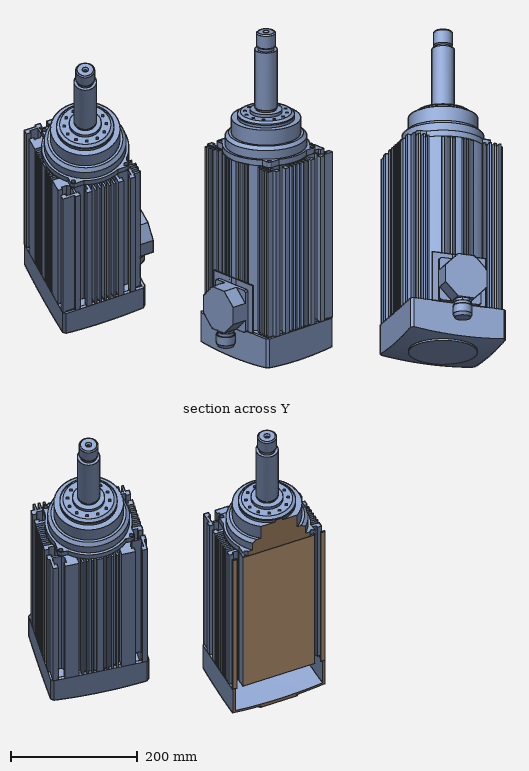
import cadquery as cq
import math


COVER_TOP = 58.0
HOUSING_TOP = 339.0
LUG_TOP = 348.5
SHOULDER_TOP = 368.5
NOSE_TOP = 394.0
PEDESTAL_TOP = 398.0
BEARING_COVER_TOP = 403.5
SHAFT_TOP = 539.5

HALF_WIDTH = 80.5
FRONT_Y = -72.0
BARREL_RADIUS = 69.0
SIDE_HALF_DEPTH = 52.0
CORNER_STEP = 3.0

GROOVE_PITCH = 8.0
GROOVE_WIDTH = 5.0
SIDE_GROOVE_COUNT = 6
FRONT_GROOVES_PER_SIDE = 4
BACK_GROOVES_PER_SIDE = 3
BACK_GROOVE_FLOOR_Y = 62.0
BACK_FIN_OUTER_X = 72.5
BACK_FIN_TIPS = (63.0, 63.0, 63.0, 59.5)
FIN_WIDTH = GROOVE_PITCH - GROOVE_WIDTH

SLOT_MOUTH_WIDTH = 11.5
SLOT_INNER_WIDTH = 19.5
SIDE_SLOT_Y = 37.0
SIDE_SLOT_LIP = 7.5
FRONT_SLOT_X = 63.0
FRONT_SLOT_LIP = 8.0
FRONT_SLOT_CHAMFER = 5.0

LUG_X = 62.5
LUG_Y = 50.0
LUG_CORNER_RADIUS = 5.0
SCREW_HOLE_RADIUS = 3.0
SHOULDER_RADIUS = 65.0
SHOULDER_CHAMFER = 5.5
NOSE_RADIUS = 55.0

BEARING_COVER_RADIUS = 45.5
BEARING_COVER_CHAMFER_RUN = 5.0
BEARING_COVER_CHAMFER_RISE = 3.0
BOLT_COUNT = 12
BOLT_CIRCLE_RADIUS = 33.5
BOLT_START_ANGLE = 11.0
BOLT_HOLE_RADIUS = 2.0
BOLT_HOLE_DEPTH = 5.5

COLLAR_RADIUS = 25.5
COLLAR_TOP = 408.5
ROOT_RADIUS = 16.0
JOURNAL_BOTTOM = 411.5
JOURNAL_RADIUS = 18.0
JOURNAL_TOP = 510.0
NECK_RADIUS = 13.0
NECK_TOP = 514.0
TIP_RADIUS = 15.0
TIP_CHAMFER = 2.0
CENTRE_HOLE_RADIUS = 2.0
CENTRE_SINK_RADIUS = 5.0
CENTRE_HOLE_DEPTH = 11.0

COVER_BACK_Y = 69.5
COVER_CHAMFER = 4.5
COVER_WALL = 5.0
DOME_RADIUS = 620.5
DOME_LOW_Z = 0.5
BOSS_RADIUS = 54.5

BOX_TOP = 129.5
BOX_HALF_WIDTH = 35.0
BOX_BACK_Y = 102.0
BOX_CHAMFER = 21.0
BOX_BASE_BACK_Y = 76.0
BOX_BASE_CHAMFER = 2.5
PLATE_MARGIN = 10.0
PLATE_FRONT_Y = 68.0
PLATE_BACK_Y = 70.0

GLAND_Y = 86.0
GLAND_NUT_FLATS = 26.5
GLAND_NUT_SIDES = 8
GLAND_NUT_BOTTOM = 54.0
GLAND_NECK_RADIUS = 13.0
GLAND_CAP_TOP = 48.5
GLAND_CAP_RADIUS = 15.0
GLAND_BOTTOM = 29.0
GLAND_CHAMFER_RUN = 2.5
GLAND_CHAMFER_RISE = 5.5

SIDES = (-1, 1)


def block(x0, x1, y0, y1, z0, z1):
    """A box given by its limits along each axis."""
    corner = cq.Vector(min(x0, x1), min(y0, y1), z0)
    return cq.Workplane(obj=cq.Solid.makeBox(abs(x1 - x0), abs(y1 - y0), z1 - z0, corner))


def cylinder(radius, z0, z1, x=0.0, y=0.0):
    """An upright cylinder between two levels."""
    return cq.Workplane("XY", origin=(x, y, z0)).circle(radius).extrude(z1 - z0)


def turned(points):
    """A solid of revolution about Z from (radius, level) points."""
    return cq.Workplane("XZ").polyline(points).close().revolve(360, (0, 0, 0), (0, 1, 0))


def housing_block(x0, x1, y0, y1):
    return block(x0, x1, y0, y1, COVER_TOP, HOUSING_TOP)


def side_slot(side, y):
    """T-slot opening on a +X or -X face."""
    outer = side * HALF_WIDTH
    inner = side * (HALF_WIDTH - SIDE_SLOT_LIP)
    mouth = housing_block(outer, inner, y - SLOT_MOUTH_WIDTH / 2, y + SLOT_MOUTH_WIDTH / 2)
    chamber = housing_block(inner, side * LUG_X, y - SLOT_INNER_WIDTH / 2, y + SLOT_INNER_WIDTH / 2)
    return mouth.union(chamber)


def front_slot(side):
    """T-slot opening on the -Y face, with one inner corner sloped to leave metal for the screw."""
    x = side * FRONT_SLOT_X
    lip_y = FRONT_Y + FRONT_SLOT_LIP
    mouth = housing_block(x - SLOT_MOUTH_WIDTH / 2, x + SLOT_MOUTH_WIDTH / 2, FRONT_Y, lip_y)
    near = side * (FRONT_SLOT_X - SLOT_INNER_WIDTH / 2)
    far = side * (FRONT_SLOT_X + SLOT_INNER_WIDTH / 2)
    chamber = (
        cq.Workplane("XY", origin=(0, 0, COVER_TOP))
        .moveTo(near, lip_y)
        .lineTo(far, lip_y)
        .lineTo(far, -LUG_Y)
        .lineTo(x - side * SLOT_MOUTH_WIDTH / 2, -LUG_Y)
        .lineTo(near, -LUG_Y - FRONT_SLOT_CHAMFER)
        .close()
        .extrude(HOUSING_TOP - COVER_TOP)
    )
    return mouth.union(chamber)


def make_housing():
    body = housing_block(-HALF_WIDTH, HALF_WIDTH, -SIDE_HALF_DEPTH, SIDE_HALF_DEPTH)
    front_half_width = HALF_WIDTH - CORNER_STEP
    body = body.union(housing_block(-front_half_width, front_half_width, FRONT_Y, 0))

    for side in SIDES:
        for i in range(SIDE_GROOVE_COUNT):
            y = (i - (SIDE_GROOVE_COUNT - 1) / 2) * GROOVE_PITCH
            body = body.cut(housing_block(0, side * HALF_WIDTH, y - GROOVE_WIDTH / 2, y + GROOVE_WIDTH / 2))

    for side in SIDES:
        for i in range(FRONT_GROOVES_PER_SIDE):
            x = side * (i + 1) * GROOVE_PITCH
            body = body.cut(housing_block(x - GROOVE_WIDTH / 2, x + GROOVE_WIDTH / 2, FRONT_Y, 0))

    for side in SIDES:
        body = body.cut(side_slot(side, SIDE_SLOT_Y))
        body = body.cut(side_slot(side, -SIDE_SLOT_Y))
        body = body.cut(front_slot(side))

    body = body.union(cylinder(BARREL_RADIUS, COVER_TOP, HOUSING_TOP))

    for side in SIDES:
        for i in range(BACK_GROOVES_PER_SIDE):
            x = side * (i + 1) * GROOVE_PITCH
            left = x - GROOVE_WIDTH / 2
            body = body.cut(housing_block(left, left + GROOVE_WIDTH, BACK_GROOVE_FLOOR_Y, BARREL_RADIUS))

    for side in SIDES:
        for i, tip in enumerate(BACK_FIN_TIPS):
            x = side * (BACK_FIN_OUTER_X - i * GROOVE_PITCH)
            left = x - FIN_WIDTH / 2
            body = body.union(housing_block(left, left + FIN_WIDTH, SIDE_HALF_DEPTH, tip))
    return body


def make_flange():
    body = cylinder(BARREL_RADIUS, HOUSING_TOP, LUG_TOP)
    lugs = block(-LUG_X, LUG_X, -LUG_Y, LUG_Y, HOUSING_TOP, LUG_TOP)
    lugs = lugs.edges("|Z").fillet(LUG_CORNER_RADIUS)
    body = body.union(lugs)

    hole_x = LUG_X - LUG_CORNER_RADIUS
    hole_y = LUG_Y - LUG_CORNER_RADIUS
    for sx in SIDES:
        for sy in SIDES:
            body = body.cut(cylinder(SCREW_HOLE_RADIUS, HOUSING_TOP, LUG_TOP, sx * hole_x, sy * hole_y))

    nose = turned([
        (0, HOUSING_TOP),
        (SHOULDER_RADIUS, HOUSING_TOP),
        (SHOULDER_RADIUS, SHOULDER_TOP - SHOULDER_CHAMFER),
        (SHOULDER_RADIUS - SHOULDER_CHAMFER, SHOULDER_TOP),
        (NOSE_RADIUS, SHOULDER_TOP),
        (NOSE_RADIUS, NOSE_TOP),
        (BEARING_COVER_RADIUS, NOSE_TOP),
        (BEARING_COVER_RADIUS, PEDESTAL_TOP),
        (0, PEDESTAL_TOP),
    ])
    return body.union(nose)


def make_bearing_cover():
    body = turned([
        (0, PEDESTAL_TOP),
        (BEARING_COVER_RADIUS, PEDESTAL_TOP),
        (BEARING_COVER_RADIUS, BEARING_COVER_TOP - BEARING_COVER_CHAMFER_RISE),
        (BEARING_COVER_RADIUS - BEARING_COVER_CHAMFER_RUN, BEARING_COVER_TOP),
        (0, BEARING_COVER_TOP),
    ])
    hole_bottom = BEARING_COVER_TOP - BOLT_HOLE_DEPTH
    for i in range(BOLT_COUNT):
        angle = math.radians(BOLT_START_ANGLE + i * 360 / BOLT_COUNT)
        x = BOLT_CIRCLE_RADIUS * math.cos(angle)
        y = BOLT_CIRCLE_RADIUS * math.sin(angle)
        body = body.cut(cylinder(BOLT_HOLE_RADIUS, hole_bottom, BEARING_COVER_TOP, x, y))
    return body


def make_shaft():
    sink_depth = CENTRE_SINK_RADIUS - CENTRE_HOLE_RADIUS
    return turned([
        (0, BEARING_COVER_TOP),
        (COLLAR_RADIUS, BEARING_COVER_TOP),
        (COLLAR_RADIUS, COLLAR_TOP),
        (ROOT_RADIUS, COLLAR_TOP),
        (ROOT_RADIUS, JOURNAL_BOTTOM),
        (JOURNAL_RADIUS, JOURNAL_BOTTOM),
        (JOURNAL_RADIUS, JOURNAL_TOP),
        (NECK_RADIUS, JOURNAL_TOP),
        (NECK_RADIUS, NECK_TOP),
        (TIP_RADIUS, NECK_TOP + TIP_CHAMFER),
        (TIP_RADIUS, SHAFT_TOP - TIP_CHAMFER),
        (TIP_RADIUS - TIP_CHAMFER, SHAFT_TOP),
        (CENTRE_SINK_RADIUS, SHAFT_TOP),
        (CENTRE_HOLE_RADIUS, SHAFT_TOP - sink_depth),
        (CENTRE_HOLE_RADIUS, SHAFT_TOP - CENTRE_HOLE_DEPTH),
        (0, SHAFT_TOP - CENTRE_HOLE_DEPTH),
    ])


def make_rear_cover():
    """Open-topped shell with a shallow domed underside and a round boss to stand on."""
    outer = block(-HALF_WIDTH, HALF_WIDTH, FRONT_Y, COVER_BACK_Y, DOME_LOW_Z, COVER_TOP)
    outer = outer.edges("|Z").chamfer(COVER_CHAMFER)
    dome_centre = (0, 0, DOME_LOW_Z + DOME_RADIUS)
    outer = outer.intersect(cq.Workplane("XY", origin=dome_centre).sphere(DOME_RADIUS))
    outer = outer.union(cylinder(BOSS_RADIUS, 0, DOME_LOW_Z + COVER_WALL))
    cavity = block(
        -HALF_WIDTH + COVER_WALL,
        HALF_WIDTH - COVER_WALL,
        FRONT_Y + COVER_WALL,
        COVER_BACK_Y - COVER_WALL,
        DOME_LOW_Z,
        COVER_TOP,
    )
    cavity = cavity.intersect(cq.Workplane("XY", origin=dome_centre).sphere(DOME_RADIUS - COVER_WALL))
    return outer.cut(cavity)


def make_terminal_box():
    box = block(-BOX_HALF_WIDTH, BOX_HALF_WIDTH, BOX_BASE_BACK_Y, BOX_BACK_Y, COVER_TOP, BOX_TOP)
    box = box.edges("|Y").chamfer(BOX_CHAMFER)
    base = block(-BOX_HALF_WIDTH, BOX_HALF_WIDTH, PLATE_BACK_Y, BOX_BASE_BACK_Y, COVER_TOP, BOX_TOP)
    base = base.edges("|Y").chamfer(BOX_BASE_CHAMFER)
    plate_half_width = BOX_HALF_WIDTH + PLATE_MARGIN
    plate_top = BOX_TOP + PLATE_MARGIN
    plate = block(-plate_half_width, plate_half_width, PLATE_FRONT_Y, PLATE_BACK_Y, COVER_TOP, plate_top)
    plate = plate.cut(cylinder(BARREL_RADIUS, COVER_TOP, plate_top))
    return box.union(base).union(plate)


def make_gland():
    """Cable gland hanging from the underside of the terminal box."""
    nut_diameter = GLAND_NUT_FLATS / math.cos(math.pi / GLAND_NUT_SIDES)
    nut = (
        cq.Workplane("XY", origin=(0, GLAND_Y, GLAND_NUT_BOTTOM))
        .transformed(rotate=(0, 0, 180 / GLAND_NUT_SIDES))
        .polygon(GLAND_NUT_SIDES, nut_diameter)
        .extrude(COVER_TOP - GLAND_NUT_BOTTOM)
    )
    stem = turned([
        (0, GLAND_NUT_BOTTOM),
        (GLAND_NECK_RADIUS, GLAND_NUT_BOTTOM),
        (GLAND_NECK_RADIUS, GLAND_CAP_TOP),
        (GLAND_CAP_RADIUS, GLAND_CAP_TOP),
        (GLAND_CAP_RADIUS, GLAND_BOTTOM + GLAND_CHAMFER_RISE),
        (GLAND_CAP_RADIUS - GLAND_CHAMFER_RUN, GLAND_BOTTOM),
        (0, GLAND_BOTTOM),
    ])
    return nut.union(stem.translate((0, GLAND_Y, 0)))


housing = make_housing()
flange = make_flange()
bearing_cover = make_bearing_cover()
shaft = make_shaft()
rear_cover = make_rear_cover()
terminal_box = make_terminal_box()
gland = make_gland()

result = cq.Compound.makeCompound([
    housing.val(),
    flange.val(),
    bearing_cover.val(),
    shaft.val(),
    rear_cover.val(),
    terminal_box.val(),
    gland.val(),
])